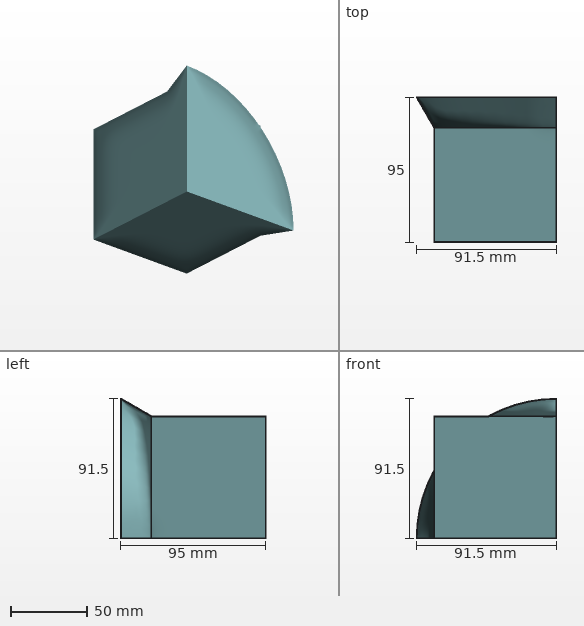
import cadquery as cq
import math

block_side = 80.0
block_length = 75.0

flare_length = 20.0
flare_angle = 30.0
flare_sweep = 90.0
flare_start_radius = block_side
flare_end_radius = flare_start_radius + flare_length * math.tan(math.radians(flare_angle))


def make_block():
    """Square block spreading toward -X and +Z from the Y axis."""
    block = cq.Workplane("XY").box(block_side, block_length, block_side, centered=False)
    return block.translate((-block_side, 0, 0))


def make_flare():
    """Quarter cone that widens along +Y, starting at the block's +Y face."""
    flare_end = block_length + flare_length
    profile = (
        cq.Workplane("XY")
        .moveTo(0, block_length)
        .lineTo(-flare_start_radius, block_length)
        .lineTo(-flare_end_radius, flare_end)
        .lineTo(0, flare_end)
        .close()
    )
    return profile.revolve(flare_sweep, (0, 0, 0), (0, 1, 0))


result = make_block().union(make_flare())